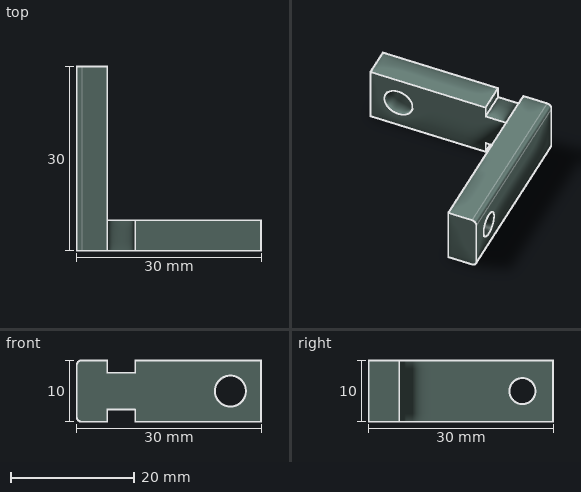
import cadquery as cq

arm_length = 30.0
height = arm_length / 3
thickness = arm_length / 6
edge_radius = 0.8
notch_length = 4.5
neck_height = 6.0
x_arm_hole_diameter = 5.0
y_arm_hole_diameter = 4.2

hole_position = arm_length - thickness
mid_height = height / 2
notch_depth = (height - neck_height) / 2


def corner_block(length_x, length_y, length_z):
    """Box with its lowest corner at the origin."""
    return cq.Workplane("XY").box(length_x, length_y, length_z, centered=False)


y_arm = corner_block(thickness, arm_length, height).edges("|Y and <X").fillet(edge_radius)
y_arm_hole = (
    cq.Workplane("YZ")
    .center(hole_position, mid_height)
    .circle(y_arm_hole_diameter / 2)
    .extrude(thickness)
)

x_arm = corner_block(arm_length - thickness, thickness, height).translate((thickness, 0, 0))
x_arm_hole = (
    cq.Workplane("XZ")
    .center(hole_position, mid_height)
    .circle(x_arm_hole_diameter / 2)
    .extrude(-thickness)
)

for notch_bottom in (0, height - notch_depth):
    notch = corner_block(notch_length, thickness, notch_depth)
    x_arm = x_arm.cut(notch.translate((thickness, 0, notch_bottom)))

result = y_arm.cut(y_arm_hole).union(x_arm.cut(x_arm_hole))